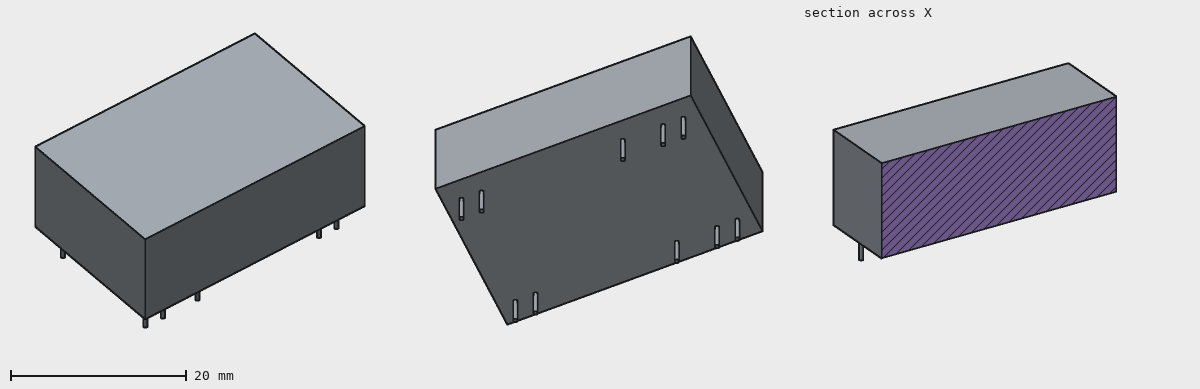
import cadquery as cq

body_width = 20.32
body_length = 31.75
total_height = 16.0
pin_length = 3.87
body_height = total_height - pin_length

pin_diameter = 0.5
row_spacing = 15.25
pin_pitch = 2.5
first_pin_y = -13.85
fitted_steps = (0, 1, 3, 10, 11)
pin_positions_y = [first_pin_y + step * pin_pitch for step in fitted_steps]


def make_body():
    """Plain block standing on the XY plane."""
    return cq.Workplane("XY").box(
        body_width, body_length, body_height, centered=(True, True, False)
    )


def add_pins(body):
    """Pins hanging from the underside, in the same pattern on both rows."""
    pin_centers = [
        (side * row_spacing / 2, y) for side in (-1, 1) for y in pin_positions_y
    ]
    return (
        body.faces("<Z")
        .workplane(origin=(0, 0, 0), invert=True)
        .pushPoints(pin_centers)
        .circle(pin_diameter / 2)
        .extrude(-pin_length)
    )


result = add_pins(make_body())